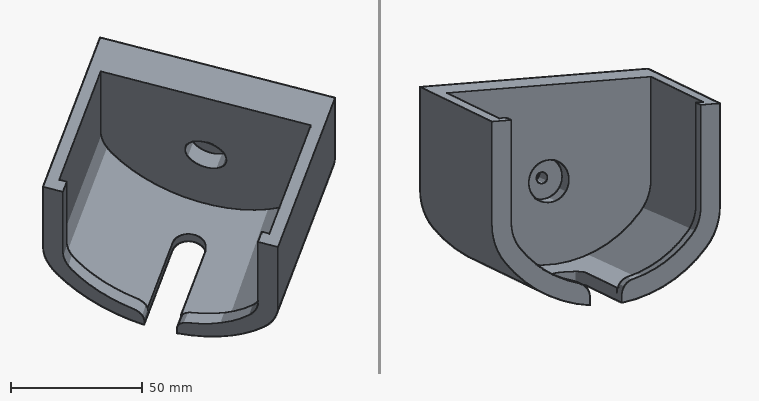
import cadquery as cq
import math

width = 94.0
depth = 72.9
height = 75.0

wall = 5.0
back_wall = 15.0
lip_depth = 5.0
lip_inset = 8.0
side_height = 40.0
opening_corner_diameter = 32.2
corner_radius = opening_corner_diameter / 2 + lip_inset

slot_width = 13.1
slot_length = 42.8
lip_end_radius = 6.0

hole_diameter = 4.4
counterbore_diameter = 16.5
counterbore_depth = 7.0
hole_drop = 37.5

corner_x = width / 2 - corner_radius
corner_to_bottom = height - side_height
floor_radius = (corner_x**2 + corner_to_bottom**2 - corner_radius**2) / (
    2 * (corner_to_bottom - corner_radius)
)
floor_center_z = floor_radius - height
tangent_angle = math.atan2(floor_center_z + side_height, corner_x)


def u_prism(inset, y_start, y_end):
    """Solid with the U outline offset inward by inset, between two Y positions."""
    half_width = width / 2 - inset
    radius = corner_radius - inset
    bottom = -height + inset
    tangent_x = corner_x + radius * math.cos(tangent_angle)
    tangent_z = -side_height - radius * math.sin(tangent_angle)
    middle_x = corner_x + radius * math.cos(tangent_angle / 2)
    middle_z = -side_height - radius * math.sin(tangent_angle / 2)
    return (
        cq.Workplane("XZ", origin=(0, y_start, 0))
        .moveTo(-half_width, 0)
        .lineTo(half_width, 0)
        .lineTo(half_width, -side_height)
        .threePointArc((middle_x, middle_z), (tangent_x, tangent_z))
        .threePointArc((0, bottom), (-tangent_x, tangent_z))
        .threePointArc((-middle_x, middle_z), (-half_width, -side_height))
        .close()
        .extrude(y_start - y_end)
    )


def floor_slot():
    """Round-ended slot, open at the front and passing down through the floor."""
    end_radius = slot_width / 2
    straight_end = slot_length - end_radius
    return (
        cq.Workplane("XY", origin=(0, 0, -height))
        .moveTo(-end_radius, 0)
        .lineTo(end_radius, 0)
        .lineTo(end_radius, straight_end)
        .threePointArc((0, slot_length), (-end_radius, straight_end))
        .close()
        .extrude(height - side_height)
    )


def lip_end_cut():
    """Flared cutter that rounds both lip corners beside the slot."""
    opening_radius = floor_radius - lip_inset
    round_x = slot_width / 2 + lip_end_radius
    center_distance = opening_radius + lip_end_radius
    round_angle = math.asin(round_x / center_distance)
    round_z = floor_center_z - center_distance * math.cos(round_angle)
    top_x = opening_radius * math.sin(round_angle)
    top_z = floor_center_z - opening_radius * math.cos(round_angle)
    middle_angle = (math.pi / 2 - round_angle) / 2
    middle_x = round_x - lip_end_radius * math.cos(middle_angle)
    middle_z = round_z + lip_end_radius * math.sin(middle_angle)
    return (
        cq.Workplane("XZ")
        .moveTo(-slot_width / 2, round_z)
        .lineTo(slot_width / 2, round_z)
        .threePointArc((middle_x, middle_z), (top_x, top_z))
        .lineTo(-top_x, top_z)
        .threePointArc((-middle_x, middle_z), (-slot_width / 2, round_z))
        .close()
        .extrude(-lip_depth)
    )


def screw_hole():
    """Through hole with a counterbore sunk from the cavity side."""
    cavity_back = depth - back_wall
    plane = cq.Workplane("XZ", origin=(0, cavity_back, -hole_drop))
    hole = plane.circle(hole_diameter / 2).extrude(-back_wall)
    counterbore = plane.circle(counterbore_diameter / 2).extrude(-counterbore_depth)
    return hole.union(counterbore)


body = u_prism(0, 0, depth)
cavity = u_prism(wall, lip_depth, depth - back_wall)
front_opening = u_prism(lip_inset, 0, lip_depth)

result = (
    body.cut(cavity)
    .cut(front_opening)
    .cut(floor_slot())
    .cut(lip_end_cut())
    .cut(screw_hole())
)